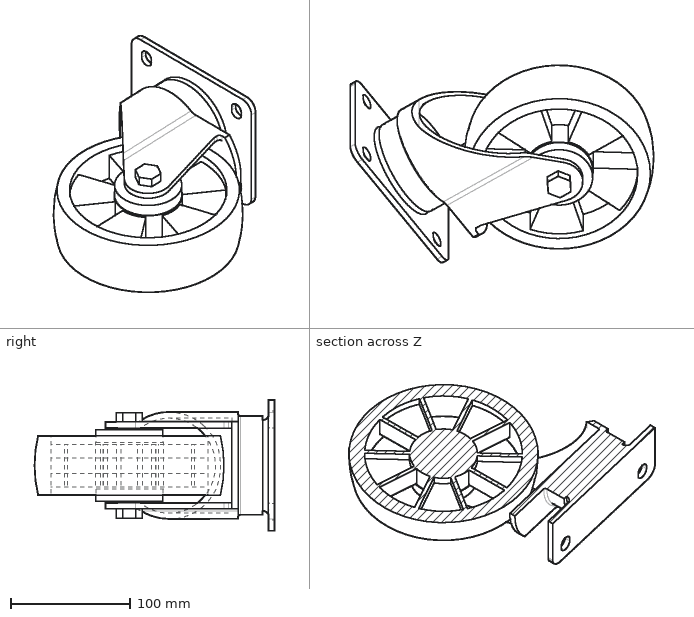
import cadquery as cq
import math


plate_length = 140.0
plate_width = 110.0
plate_thickness = 5.0
plate_corner_radius = 10.5
slot_spacing_x = 105.0
slot_spacing_z = 77.5
slot_length = 14.0
slot_width = 11.3

collar_radius = 83.2 / 2
neck_radius = 38.2
groove_middle_radius = 38.8
collar_top = -10.0
collar_fillet = 2.0

sheet = 5.0
fork_top = -30.5
fork_radius = 45.0
fork_inner_radius = fork_radius - sheet
arm_outer = 36.5
arm_inner = arm_outer - sheet
arm_blend_radius = 10.6
arm_end_radius = 20.0
cap_thickness = 5.5
cap_bottom = fork_top - cap_thickness
cap_corner_x = 69.2
notch_y = -42.5
notch_fillet = 3.0
shell_front_y = -45.6
shell_kink_x = -40.3
shell_kink_y = -49.5

wheel_x = 62.6
wheel_y = -122.0
wheel_radius = 79.5
tread_edge_radius = 76.6
wheel_half_width = 24.8
rim_inner_radius = 132.0 / 2
rim_recess_half_width = 17.8
hub_radius = 56.5 / 2
hub_half_width = 30.1
hub_core_radius = 28.7
hub_core_half_width = 19.5
pocket_count = 5
pocket_floor = -6.4
pocket_wall = 4.0

spacer_radius = 20.0 / 2
hex_across_flats = 19.0
bolt_half_length = 44.4

notch_x = wheel_x
arm_end_x = wheel_x + arm_end_radius


def tangent_point(x, y, side):
    """Point where a line from (x, y) touches the round arm end; side is +1 or -1."""
    away_x = x - wheel_x
    away_y = y - wheel_y
    spread = math.acos(arm_end_radius / math.hypot(away_x, away_y))
    angle = math.atan2(away_y, away_x) + side * spread
    return (
        wheel_x + arm_end_radius * math.cos(angle),
        wheel_y + arm_end_radius * math.sin(angle),
    )


def axle_disc(radius, half_width):
    """Cylinder on the wheel axis, centred on the middle plane."""
    disc = cq.Workplane("XY").circle(radius).extrude(half_width, both=True)
    return disc.translate((wheel_x, wheel_y, 0))


def make_plate():
    plate = cq.Workplane("XZ").rect(plate_length, plate_width).extrude(plate_thickness)
    plate = plate.edges("|Y").fillet(plate_corner_radius)
    slots = (
        cq.Workplane("XZ")
        .rect(slot_spacing_x, slot_spacing_z, forConstruction=True)
        .vertices()
        .slot2D(slot_length, slot_width, 90)
        .extrude(plate_thickness)
    )
    return plate.cut(slots)


def make_bearing():
    """Grooved neck and collar, blended into the top of the fork."""
    groove_middle = (-plate_thickness + collar_top) / 2
    fillet_sag = collar_fillet * (1 - math.sqrt(0.5))
    profile = (
        cq.Workplane("XY")
        .moveTo(0, -plate_thickness)
        .lineTo(collar_radius, -plate_thickness)
        .threePointArc((groove_middle_radius, groove_middle), (neck_radius, collar_top))
        .lineTo(collar_radius, collar_top)
        .lineTo(collar_radius, fork_top + collar_fillet)
        .threePointArc(
            (collar_radius + fillet_sag, fork_top + fillet_sag),
            (collar_radius + collar_fillet, fork_top),
        )
        .lineTo(0, fork_top)
        .close()
    )
    return profile.revolve(360, (0, 0, 0), (0, 1, 0))


def fork_plan(radius, half_gap, end_x, depth):
    """Keyhole prism below the fork top: a round shell running into two straight sides."""
    start = cq.Workplane("XZ", origin=(0, fork_top, 0))
    straight = start.center(end_x / 2, 0).rect(end_x, 2 * half_gap).extrude(depth)
    return start.circle(radius).extrude(depth).union(straight)


def blend_arms(body):
    """Round the inner corners where the shell meets the outside of the arms."""
    corner_x = math.sqrt(fork_radius**2 - arm_outer**2)
    upper_corner = cq.selectors.NearestToPointSelector((corner_x, fork_top, arm_outer))
    lower_corner = cq.selectors.NearestToPointSelector((corner_x, fork_top, -arm_outer))
    return body.edges("|Y").edges(upper_corner + lower_corner).fillet(arm_blend_radius)


def make_fork():
    depth = fork_top - (wheel_y - arm_end_radius)
    shell = blend_arms(fork_plan(fork_radius, arm_outer, arm_end_x, depth))
    shell = shell.cut(fork_plan(fork_inner_radius, arm_inner, arm_end_x, depth))

    arm_back = tangent_point(notch_x, notch_y, -1)
    arm_front = tangent_point(shell_kink_x, shell_kink_y, 1)
    fillet_sag = notch_fillet * (1 - math.sqrt(0.5))
    side = (
        cq.Workplane("XY")
        .moveTo(-fork_radius, fork_top)
        .lineTo(notch_x + notch_fillet, fork_top)
        .lineTo(notch_x + notch_fillet, cap_bottom)
        .threePointArc(
            (notch_x + fillet_sag, cap_bottom - fillet_sag),
            (notch_x, cap_bottom - notch_fillet),
        )
        .lineTo(notch_x, notch_y)
        .lineTo(*arm_back)
        .threePointArc((wheel_x, wheel_y - arm_end_radius), arm_front)
        .lineTo(shell_kink_x, shell_kink_y)
        .lineTo(-fork_radius, shell_front_y)
        .close()
        .extrude(fork_radius, both=True)
    )

    cap = blend_arms(fork_plan(fork_radius, arm_outer, cap_corner_x, cap_thickness))
    cap_end = (
        cq.Workplane("XZ", origin=(0, fork_top, 0))
        .moveTo(cap_corner_x, -arm_outer)
        .threePointArc((arm_end_x, 0), (cap_corner_x, arm_outer))
        .close()
        .extrude(cap_thickness)
    )
    return shell.intersect(side).union(cap).union(cap_end)


def make_pocket(direction):
    """Sector pocket between hub and rim, pulled in by half a wall on both straight sides."""
    half_angle = math.pi / (2 * pocket_count)
    apex = pocket_wall / 2 / math.sin(half_angle)
    reach_x = 2 * rim_inner_radius
    reach_y = (reach_x - apex) * math.tan(half_angle)
    height = rim_recess_half_width - pocket_floor
    wedge = (
        cq.Workplane("XY", origin=(0, 0, pocket_floor))
        .polyline([(apex, 0), (reach_x, -reach_y), (reach_x, reach_y)])
        .close()
        .extrude(height)
        .rotate((0, 0, 0), (0, 0, 1), direction)
    )
    ring = (
        cq.Workplane("XY", origin=(0, 0, pocket_floor))
        .circle(rim_inner_radius)
        .circle(hub_core_radius)
        .extrude(height)
    )
    return wedge.intersect(ring).translate((wheel_x, wheel_y, 0))


def make_wheel():
    """Crowned wheel whose corrugated disc has pockets alternating between its two faces."""
    wheel = (
        cq.Workplane("XZ")
        .moveTo(0, -wheel_half_width)
        .lineTo(tread_edge_radius, -wheel_half_width)
        .threePointArc((wheel_radius, 0), (tread_edge_radius, wheel_half_width))
        .lineTo(0, wheel_half_width)
        .close()
        .revolve(360, (0, 0, 0), (0, 1, 0))
        .translate((wheel_x, wheel_y, 0))
    )
    disc = axle_disc(rim_inner_radius, rim_recess_half_width)
    wheel = wheel.cut(axle_disc(rim_inner_radius, wheel_half_width).cut(disc))

    pitch = 360 / pocket_count
    for index in range(pocket_count):
        wheel = wheel.cut(make_pocket((index + 0.5) * pitch))
        wheel = wheel.cut(make_pocket(index * pitch).mirror("XY"))

    bushings = axle_disc(hub_radius, hub_half_width).cut(axle_disc(hub_radius, hub_core_half_width))
    return wheel.union(axle_disc(hub_core_radius, hub_core_half_width)).union(bushings)


def make_axle():
    """Spacers between hub and arms, and a hexagon head outside each arm."""
    hex_diameter = hex_across_flats / math.cos(math.pi / 6)
    bolt = (
        cq.Workplane("XY")
        .polygon(6, hex_diameter)
        .extrude(bolt_half_length, both=True)
        .rotate((0, 0, 0), (0, 0, 1), 30)
        .translate((wheel_x, wheel_y, 0))
    )
    arm_span = axle_disc(hex_diameter, arm_outer)
    return bolt.cut(arm_span).union(axle_disc(spacer_radius, arm_outer))


result = (
    make_plate()
    .union(make_bearing())
    .union(make_fork())
    .union(make_wheel())
    .union(make_axle())
)